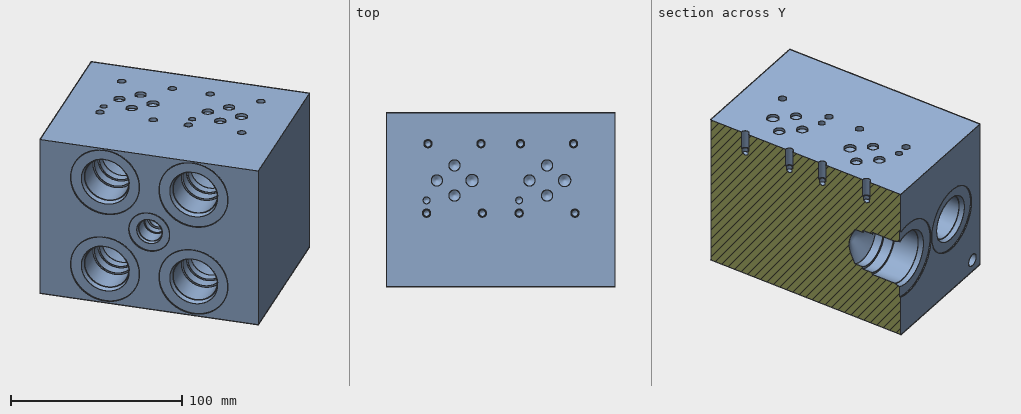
import cadquery as cq
import math

LENGTH = 133.4
WIDTH = 101.6
HEIGHT = 101.6
MID_X = LENGTH / 2
MID_Z = HEIGHT / 2

DRILL_POINT_ANGLE = 118.0
SPOTFACE_DEPTH = 0.8

WORK_PORT_PITCH_X = 54.0
WORK_PORT_PITCH_Z = 57.3

SUPPLY_PORT_Y = 30.0
TANK_PORT_Y = 76.3

LARGE_PORT = dict(
    spotface=49.3, seat=35.5, seat_end=33.7, thread=33.3, pilot=31.2, drill=28.5,
    seat_depth=3.9, thread_depth=20.0, pilot_depth=26.7, drill_depth=32.0,
)
MEDIUM_PORT = dict(
    spotface=42.0, seat=29.2, seat_end=27.5, thread=27.0, pilot=25.0, drill=23.1,
    seat_depth=3.9, thread_depth=20.0, pilot_depth=26.7, drill_depth=32.0,
)
SMALL_PORT = dict(
    spotface=25.0, seat=15.6, seat_end=14.7, thread=14.3, pilot=13.0, drill=10.5,
    seat_depth=3.0, thread_depth=12.7, pilot_depth=17.3, drill_depth=21.3,
)

MOUNT_INSET = 8.1
MOUNT_THREAD = 7.9
MOUNT_DRILL = 6.4
MOUNT_THREAD_DEPTH = 16.0
MOUNT_DRILL_DEPTH = 20.0

BOLT_BACK_Y = 83.5
BOLT_PITCH_Y = 40.5
BOLT_FRONT_Y = BOLT_BACK_Y - BOLT_PITCH_Y
BOLT_BACK_PITCH_X = 31.0
BOLT_FRONT_PITCH_X = 32.5
BOLT_THREAD = 4.8
BOLT_DRILL = 3.7
BOLT_THREAD_DEPTH = 12.0
BOLT_DRILL_DEPTH = 14.7

VALVE_PORT_Y = 62.0
VALVE_PORT_STEP_X = 10.3
VALVE_PORT_STEP_Y = 8.8
VALVE_PORT = 6.5
VALVE_TANK_PORT = 7.2
VALVE_PORT_DEPTH = 1.9

PIN_HOLE = 4.0
PIN_HOLE_DEPTH = 4.0
PIN_STEP_Y = 7.5


def stepped_cutter(profile):
    """Solid of revolution about +Z from (diameter, depth) pairs, ended by a drill point."""
    points = [(diameter / 2, -depth) for diameter, depth in profile]
    tip_radius, bottom = points[-1]
    tip = bottom - tip_radius / math.tan(math.radians(DRILL_POINT_ANGLE / 2))
    outline = [(0, 0)] + points + [(0, tip)]
    return cq.Workplane("XZ").polyline(outline).close().revolve(360, (0, 0), (0, 1))


def port_cutter(port):
    """Spotface, tapered seal seat, thread bore, pilot bore and drill."""
    return stepped_cutter([
        (port["spotface"], 0),
        (port["spotface"], SPOTFACE_DEPTH),
        (port["seat"], SPOTFACE_DEPTH),
        (port["seat_end"], port["seat_depth"]),
        (port["thread"], port["seat_depth"]),
        (port["thread"], port["thread_depth"]),
        (port["pilot"], port["thread_depth"]),
        (port["pilot"], port["pilot_depth"]),
        (port["drill"], port["pilot_depth"]),
        (port["drill"], port["drill_depth"]),
    ])


def tapped_cutter(thread, thread_depth, drill, drill_depth):
    """Thread bore with a narrower drill continuing below it."""
    return stepped_cutter([
        (thread, 0),
        (thread, thread_depth),
        (drill, thread_depth),
        (drill, drill_depth),
    ])


def drilled_cutter(diameter, depth):
    """Plain blind drill."""
    return stepped_cutter([(diameter, 0), (diameter, depth)])


def on_front(cutter, x, z):
    return cutter.rotate((0, 0, 0), (1, 0, 0), 90).translate((x, 0, z))


def on_left(cutter, y, z):
    return cutter.rotate((0, 0, 0), (0, 1, 0), -90).translate((0, y, z))


def on_top(cutter, x, y):
    return cutter.translate((x, y, HEIGHT))


def valve_pattern(centre_x):
    """All cutters of one valve mounting pattern."""
    bolt = tapped_cutter(BOLT_THREAD, BOLT_THREAD_DEPTH, BOLT_DRILL, BOLT_DRILL_DEPTH)
    port = drilled_cutter(VALVE_PORT, VALVE_PORT_DEPTH)
    tank_port = drilled_cutter(VALVE_TANK_PORT, VALVE_PORT_DEPTH)
    pin = drilled_cutter(PIN_HOLE, PIN_HOLE_DEPTH)

    cutters = []
    for side in (-1, 1):
        cutters.append(on_top(bolt, centre_x + side * BOLT_BACK_PITCH_X / 2, BOLT_BACK_Y))
        cutters.append(on_top(bolt, centre_x + side * BOLT_FRONT_PITCH_X / 2, BOLT_FRONT_Y))
        cutters.append(on_top(port, centre_x, VALVE_PORT_Y + side * VALVE_PORT_STEP_Y))
    cutters.append(on_top(port, centre_x - VALVE_PORT_STEP_X, VALVE_PORT_Y))
    cutters.append(on_top(tank_port, centre_x + VALVE_PORT_STEP_X, VALVE_PORT_Y))
    cutters.append(on_top(pin, centre_x - BOLT_FRONT_PITCH_X / 2, BOLT_FRONT_Y + PIN_STEP_Y))
    return cutters


cutters = [on_front(port_cutter(SMALL_PORT), MID_X, MID_Z)]
for side_x in (-1, 1):
    station_x = MID_X + side_x * WORK_PORT_PITCH_X / 2
    cutters += valve_pattern(station_x)
    for side_z in (-1, 1):
        port_z = MID_Z + side_z * WORK_PORT_PITCH_Z / 2
        cutters.append(on_front(port_cutter(MEDIUM_PORT), station_x, port_z))

cutters.append(on_left(port_cutter(MEDIUM_PORT), SUPPLY_PORT_Y, MID_Z))
cutters.append(on_left(port_cutter(LARGE_PORT), TANK_PORT_Y, MID_Z))
mount = tapped_cutter(MOUNT_THREAD, MOUNT_THREAD_DEPTH, MOUNT_DRILL, MOUNT_DRILL_DEPTH)
for y in (MOUNT_INSET, WIDTH - MOUNT_INSET):
    cutters.append(on_left(mount, y, MOUNT_INSET))

result = cq.Workplane("XY").box(LENGTH, WIDTH, HEIGHT, centered=False)
for cutter in cutters:
    result = result.cut(cutter)